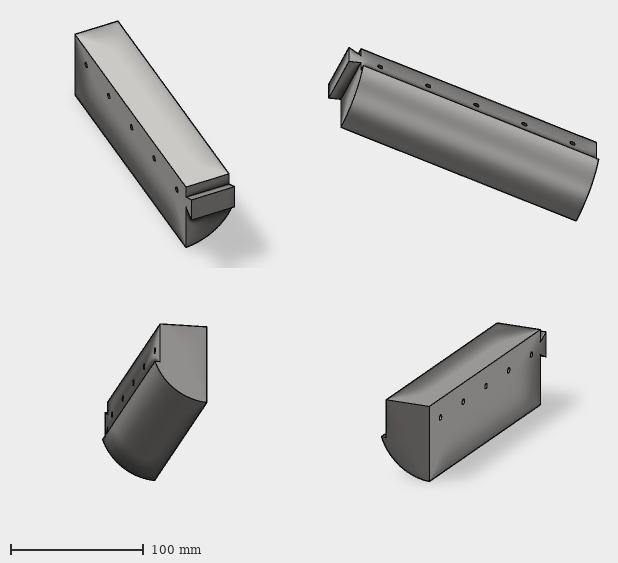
import cadquery as cq
import math

body_length = 196.0
body_depth = 36.0
body_height = 60.0

ledge_depth = 4.0
ledge_height = 30.0
arc_radius = 45.0

tongue_length = 10.0
tongue_neck_width = 10.0
tongue_end_width = 20.0
tongue_center_drop = 15.0

hole_diameter = 4.0
hole_count = 5
hole_spacing = 40.0
first_hole_x = 20.0
hole_drop = 15.0


def arc_midpoint(start, end, radius):
    """Midpoint of the minor arc from start to end that bulges to the right of that direction."""
    dx = end[0] - start[0]
    dy = end[1] - start[1]
    chord = math.hypot(dx, dy)
    sagitta = radius - math.sqrt(radius**2 - (chord / 2) ** 2)
    mid_x = (start[0] + end[0]) / 2 + sagitta * dy / chord
    mid_y = (start[1] + end[1]) / 2 - sagitta * dx / chord
    return (mid_x, mid_y)


def make_body():
    """Constant YZ section swept along the bar."""
    bottom_edge = (0, -body_height)
    ledge_tip = (body_depth + ledge_depth, ledge_height - body_height)
    return (
        cq.Workplane("YZ")
        .moveTo(0, 0)
        .lineTo(*bottom_edge)
        .threePointArc(arc_midpoint(bottom_edge, ledge_tip, arc_radius), ledge_tip)
        .lineTo(body_depth, ledge_tip[1])
        .lineTo(body_depth, 0)
        .close()
        .extrude(body_length)
    )


def make_tongue():
    """Dovetail tongue that widens away from the body, as deep as the body above the ledge."""
    end_x = body_length + tongue_length
    neck_half = tongue_neck_width / 2
    end_half = tongue_end_width / 2
    outline = [
        (body_length, -tongue_center_drop - neck_half),
        (end_x, -tongue_center_drop - end_half),
        (end_x, -tongue_center_drop + end_half),
        (body_length, -tongue_center_drop + neck_half),
    ]
    return cq.Workplane("XZ").polyline(outline).close().extrude(-body_depth)


def make_holes():
    """Cylinders for the row of through holes."""
    centers = [(first_hole_x + i * hole_spacing, -hole_drop) for i in range(hole_count)]
    return cq.Workplane("XZ").pushPoints(centers).circle(hole_diameter / 2).extrude(-body_depth)


result = make_body().union(make_tongue()).cut(make_holes())